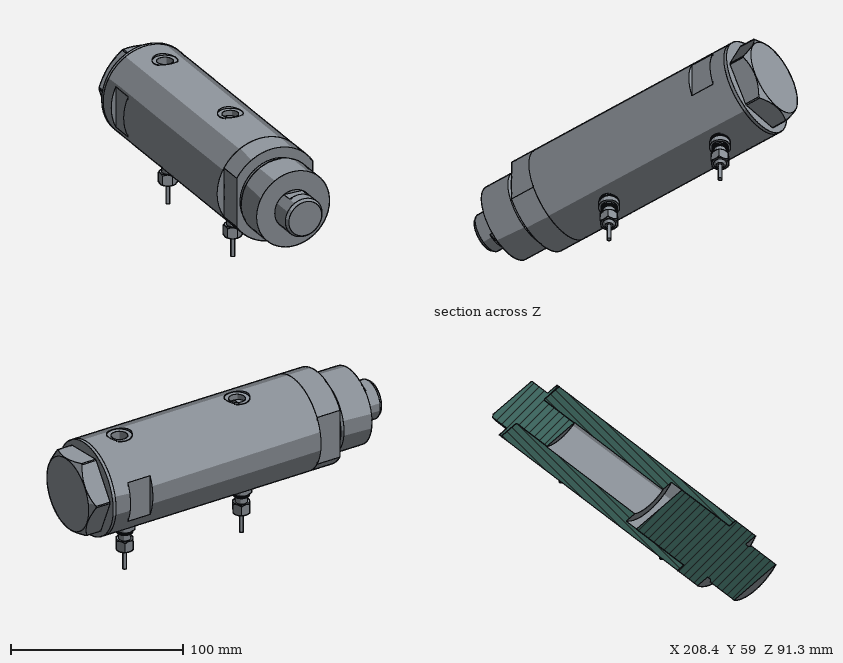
import cadquery as cq
import math


overall_length = 208.42
hex_length = 12.6
cap_flange_length = 2.0
tube_start = hex_length + cap_flange_length
cap_spigot_end = 38.7
head_spigot_start = 117.0
head_start = 155.1
head_shoulder_end = 170.9
head_collar_start = 174.3
head_end = 193.5

tube_radius = 29.5
tube_bore_radius = 20.0
head_socket_radius = 25.0
head_socket_start = 109.0
flat_start = 24.5
flat_length = 15.3
flat_across = 53.0

port_positions = (35.4, 116.05)
port_spotface_diameter = 15.0
port_spotface_depth = 1.2
port_hole_diameter = 9.75

hex_across_flats = 46.0
hex_corner_radius = 26.3
hex_face_radius = 22.8
hex_chamfer_length = 3.0
hex_turn = -6.5

head_across_flats = 50.0
collar_radius = 24.0
relief_radius = 22.9
relief_length = 2.0

rod_radius = 12.1
rod_flat_across = 21.0
rod_flat_end = 200.5
rod_end_chamfer = 1.8
rod_end_chamfer_depth = 1.3

sensor_positions = (39.0, 119.0)
sensor_seat_level = 28.5
sensor_lip_end = 30.6
sensor_body_end = 34.6
sensor_taper_start = 35.8
sensor_taper_end = 36.8
sensor_step_end = 37.1
sensor_neck_end = 41.4
sensor_nut_end = 48.6
sensor_cone_end = 50.0
sensor_wire_end = 61.8
sensor_lip_radius = 5.7
sensor_body_radius = 6.15
sensor_step_radius = 4.8
sensor_taper_radius = 4.2
sensor_neck_radius = 3.65
sensor_nut_across_flats = 9.8
sensor_nut_chamfer = 0.8
sensor_cone_start_radius = 3.8
sensor_cone_end_radius = 2.3
sensor_wire_radius = 1.2


def revolved(profile):
    """Solid of revolution about the X axis from (x, radius) points; the axis side is closed."""
    first_x = profile[0][0]
    last_x = profile[-1][0]
    outline = [(first_x, 0)] + profile + [(last_x, 0)]
    return cq.Workplane("XZ").polyline(outline).close().revolve(360, (0, 0, 0), (1, 0, 0))


def turned(start, end, radius):
    """Plain cylinder on the X axis from start to end."""
    return revolved([(start, radius), (end, radius)])


def post(x, top, bottom, radius):
    """Vertical cylinder at x between two levels."""
    return cq.Workplane("XY", origin=(x, 0, bottom)).circle(radius).extrude(top - bottom)


def block(start, end, width_y, height_z):
    """Box centred on the X axis from start to end."""
    box = cq.Workplane("XY").box(end - start, width_y, height_z, centered=(False, True, True))
    return box.translate((start, 0, 0))


def make_tube():
    tube = turned(tube_start, head_start, tube_radius)
    tube = tube.cut(turned(tube_start, head_socket_start, tube_bore_radius))
    tube = tube.cut(turned(head_socket_start, head_start, head_socket_radius))

    flat_end = flat_start + flat_length
    flat_ring = block(flat_start, flat_end, 2 * tube_radius, 2 * tube_radius)
    tube = tube.cut(flat_ring.cut(block(flat_start, flat_end, flat_across, 2 * tube_radius)))

    for x in port_positions:
        spotface_level = tube_radius - port_spotface_depth
        tube = tube.cut(post(x, tube_radius, spotface_level, port_spotface_diameter / 2))
        tube = tube.cut(post(x, tube_radius, 0, port_hole_diameter / 2))

    for x in sensor_positions:
        tube = tube.cut(post(x, -sensor_seat_level, -tube_radius, sensor_lip_radius))
    return tube


def make_cap():
    hex_across_corners = hex_across_flats / math.cos(math.radians(30))
    hexagon = cq.Workplane("YZ").polygon(6, hex_across_corners).extrude(hex_length)
    hexagon = hexagon.rotate((0, 0, 0), (1, 0, 0), hex_turn)
    envelope = revolved([
        (0, hex_face_radius),
        (hex_chamfer_length, hex_corner_radius),
        (hex_length, hex_corner_radius),
    ])
    flange = turned(hex_length, tube_start, tube_radius)
    spigot = turned(tube_start, cap_spigot_end, tube_bore_radius)
    return hexagon.intersect(envelope).union(flange).union(spigot)


def make_head():
    shoulder = turned(head_start, head_shoulder_end, tube_radius)
    shoulder = shoulder.intersect(
        block(head_start, head_shoulder_end, head_across_flats, 2 * tube_radius)
    )
    collar = revolved([
        (head_shoulder_end, relief_radius),
        (head_shoulder_end + relief_length, relief_radius),
        (head_collar_start, collar_radius),
        (head_end, collar_radius),
    ])
    spigot = turned(head_spigot_start, head_start, head_socket_radius)
    head = spigot.union(shoulder).union(collar)
    return head.cut(turned(head_spigot_start, head_end, rod_radius))


def make_rod():
    rod = revolved([
        (cap_spigot_end, rod_radius),
        (overall_length - rod_end_chamfer, rod_radius),
        (overall_length, rod_radius - rod_end_chamfer_depth),
    ])
    flat_ring = block(head_end, rod_flat_end, 2 * rod_radius, 2 * rod_radius)
    return rod.cut(flat_ring.cut(block(head_end, rod_flat_end, 2 * rod_radius, rod_flat_across)))


def tapered_post(x, top, bottom, top_radius, bottom_radius):
    """Vertical cone frustum at x between two levels."""
    frustum = cq.Workplane("XY", origin=(x, 0, top)).circle(top_radius)
    return frustum.workplane(offset=bottom - top).circle(bottom_radius).loft()


def make_sensor(x):
    lip = post(x, -sensor_seat_level, -sensor_lip_end, sensor_lip_radius)
    body = post(x, -sensor_lip_end, -sensor_body_end, sensor_body_radius)
    neck = post(x, -sensor_body_end, -sensor_neck_end, sensor_neck_radius)

    step = post(x, -sensor_body_end, -sensor_taper_start, sensor_step_radius)
    taper = tapered_post(
        x, -sensor_taper_start, -sensor_taper_end, sensor_step_radius, sensor_taper_radius
    )
    collar = post(x, -sensor_taper_end, -sensor_step_end, sensor_step_radius)

    nut_across_corners = sensor_nut_across_flats / math.cos(math.radians(30))
    nut_length = sensor_nut_end - sensor_neck_end
    nut_plane = cq.Workplane("XY", origin=(x, 0, -sensor_nut_end))
    nut = nut_plane.polygon(6, nut_across_corners).extrude(nut_length)
    nut_blank = post(x, -sensor_neck_end, -sensor_nut_end, nut_across_corners / 2)
    nut = nut.intersect(nut_blank.edges().chamfer(sensor_nut_chamfer))

    cone = tapered_post(
        x, -sensor_nut_end, -sensor_cone_end, sensor_cone_start_radius, sensor_cone_end_radius
    )
    wire = post(x, -sensor_cone_end, -sensor_wire_end, sensor_wire_radius)

    sensor = lip
    for piece in (body, neck, step, taper, collar, nut, cone, wire):
        sensor = sensor.union(piece)
    return sensor


cap = make_cap()
tube = make_tube()
head = make_head()
rod = make_rod()
sensors = [make_sensor(x) for x in sensor_positions]

result = cq.Compound.makeCompound(
    [cap.val(), tube.val(), head.val(), rod.val()] + [sensor.val() for sensor in sensors]
)